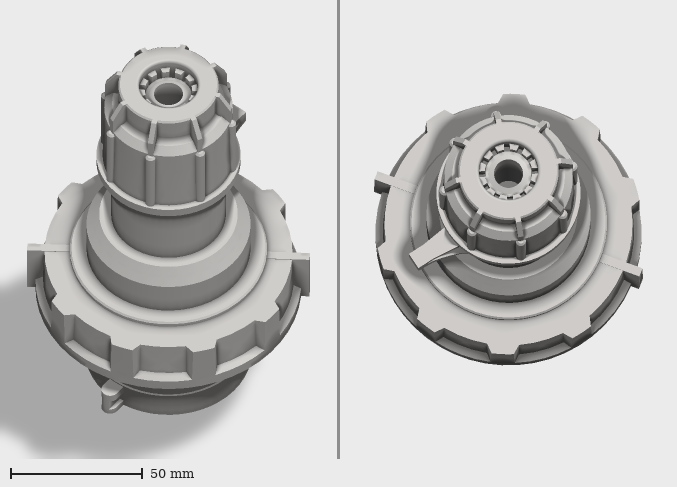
import cadquery as cq
import math

TOTAL_HEIGHT = 157.1

SLEEVE_RADIUS = 30.8
COLLAR_RADIUS = 63.3 / 2
COLLAR_TOP = 11.0
KEY_WIDTH = 6.6
KEY_REACH = 38.8
KEY_TOP = 10.5
KEY_WEB_WIDTH = 3.3
KEY_NOTCH_BOTTOM = 2.5
KEY_NOTCH_TOP = 7.2

RING_BOTTOM = 37.5
RING_TOP = 58.1
RING_RADIUS = 50.5
RECESS_FOOT_RADIUS = 47.6
RECESS_TOP_RADIUS = 47.0
RECESS_BOTTOM = 42.0
RECESS_FOOT = 43.7
LAND_COUNT = 10
LAND_WIDTH = 9.3
LAND_FLARE = 1.4
LUG_POSITIONS = (1, 6)
LUG_WIDTH = 4.4
LUG_INNER_RADIUS = 37.5
LUG_REACH = 53.5
LUG_TOP = 58.5
DRAFT_ANGLE = 1.4

WASHER_RADIUS = 74.8 / 2
WASHER_BOTTOM = 58.8
WASHER_TOP = 60.8
WASHER_CHAMFER = 0.6

HOUSING_RADIUS = 31.1
HOUSING_TAPER_BOTTOM = 74.6
HOUSING_SHOULDER = 80.7
HOUSING_SHOULDER_RADIUS = 26.2
NECK_RADIUS = 43.5 / 2
HOOK_TOP = 103.0
HOOK_PLATE_THICKNESS = 2.5
HOOK_REACH = 43.0
HOOK_TAPER_START = 36.3
HOOK_TIP_WIDTH = 6.6
HOOK_ROOT_WIDTH = 9.9
HOOK_LIP_BOTTOM = 98.0
HOOK_FOOT = 81.0
HOOK_WEB_WIDTH = 1.9

NUT_BOTTOM = 111.9
NUT_FLANGE_TOP = 115.5
NUT_FLANGE_RADIUS = 27.3
NUT_BODY_BOTTOM_RADIUS = 25.0
NUT_BODY_TOP_RADIUS = 24.4
NUT_BODY_TOP = 143.5
NUT_SHOULDER_RADIUS = 21.4
NUT_SHOULDER_TOP = 146.1
NUT_HEAD_RADIUS = 38.0 / 2
NUT_HEAD_BOTTOM = 148.5
NUT_HEAD_CHAMFER = 0.6
NUT_NECK_RADIUS = 18.5
NUT_NECK_FILLET = 2.2
NUT_BORE_RADIUS = 22.5 / 2
NUT_BORE_ROUND = 1.1
GRIP_COUNT = 8
GRIP_RADIUS = 24.7
GRIP_RIB_RADIUS = 1.9
GRIP_RIB_TOP = 143.0
GRIP_RIB_CHAMFER = 0.8
FIN_THICKNESS = 2.0
FIN_TOP_RADIUS = 20.3
FIN_KNEE = 150.2

CAGE_RADIUS = 22.3 / 2
CAGE_BORE_RADIUS = 9.0
CAGE_TOP = 153.5
CAGE_SLOT_COUNT = 12
CAGE_SLOT_WIDTH = 2.2
CAGE_SLOT_BOTTOM = 147.7
SEAL_RADIUS = 8.8
SEAL_RIM_TOP = 150.5
SEAL_LIP_RADIUS = 7.7
SEAL_LIP_TOP = 151.3
SEAL_BORE_RADIUS = 11.0 / 2


def cylinder(radius, bottom, top):
    return cq.Workplane("XY").workplane(offset=bottom).circle(radius).extrude(top - bottom)


def block(x_min, x_max, y_min, y_max, bottom, top):
    size = (x_max - x_min, y_max - y_min, top - bottom)
    return cq.Workplane("XY").box(*size, centered=False).translate((x_min, y_min, bottom))


def turned(body, angle):
    return body.rotate((0, 0, 0), (0, 0, 1), angle)


def make_key():
    """Key on the -Y side: a round-ended block, narrowed to a web at mid height."""
    half_width = KEY_WIDTH / 2
    round_center = KEY_REACH - half_width
    key = block(-half_width, half_width, -round_center, -SLEEVE_RADIUS, 0, KEY_TOP)
    key = key.union(cylinder(half_width, 0, KEY_TOP).translate((0, -round_center, 0)))
    for side in (-1, 1):
        inner = side * KEY_WEB_WIDTH / 2
        outer = side * KEY_WIDTH
        key = key.cut(
            block(min(inner, outer), max(inner, outer), -KEY_REACH, 0, KEY_NOTCH_BOTTOM, KEY_NOTCH_TOP)
        )
    return key


def make_sleeve():
    sleeve = cylinder(SLEEVE_RADIUS, 0, RING_TOP)
    return sleeve.union(cylinder(COLLAR_RADIUS, 0, COLLAR_TOP)).union(make_key())


def drafted_rib(inner_width, outer_width, outer_radius, top):
    """Radial rib along +X that narrows towards its top."""
    height = top - RING_BOTTOM
    draft = height * math.tan(math.radians(DRAFT_ANGLE))

    def footprint(setback):
        inner = inner_width / 2 - setback
        outer = outer_width / 2 - setback
        return [
            (LUG_INNER_RADIUS, -inner),
            (outer_radius, -outer),
            (outer_radius, outer),
            (LUG_INNER_RADIUS, inner),
        ]

    return (
        cq.Workplane("XY")
        .workplane(offset=RING_BOTTOM)
        .polyline(footprint(0))
        .close()
        .workplane(offset=height)
        .polyline(footprint(draft))
        .close()
        .loft(ruled=True)
    )


def make_land():
    """Land between two recesses, flaring towards the axis."""
    flare = 2 * LAND_FLARE / (RING_RADIUS - RECESS_FOOT_RADIUS)
    inner_width = LAND_WIDTH + flare * (RING_RADIUS - LUG_INNER_RADIUS)
    outer_width = LAND_WIDTH - flare * (LUG_REACH - RING_RADIUS)
    return drafted_rib(inner_width, outer_width, LUG_REACH, LUG_TOP)


def make_grip_recess():
    """Annular recess around the ring with a sloping floor, interrupted by the lands."""
    floor_slope = (RECESS_FOOT - RECESS_BOTTOM) / (RING_RADIUS - RECESS_FOOT_RADIUS)
    clear_radius = (RING_RADIUS + LUG_REACH) / 2
    recess = (
        cq.Workplane("XZ")
        .polyline(
            [
                (RECESS_FOOT_RADIUS, RECESS_FOOT),
                (clear_radius, RECESS_BOTTOM - floor_slope * (clear_radius - RING_RADIUS)),
                (clear_radius, RING_TOP),
                (RECESS_TOP_RADIUS, RING_TOP),
            ]
        )
        .close()
        .revolve(360, (0, 0, 0), (0, 1, 0))
    )
    land = make_land()
    for position in range(LAND_COUNT):
        if position not in LUG_POSITIONS:
            recess = recess.cut(turned(land, position * 360 / LAND_COUNT))
    return recess


def make_coupling_ring():
    ring = cylinder(RING_RADIUS, RING_BOTTOM, RING_TOP).cut(make_grip_recess())
    lug = drafted_rib(LUG_WIDTH, LUG_WIDTH, LUG_REACH, LUG_TOP)
    for position in LUG_POSITIONS:
        ring = ring.union(turned(lug, position * 360 / LAND_COUNT))
    return ring.cut(cylinder(SLEEVE_RADIUS, RING_BOTTOM, RING_TOP))


def make_washer():
    washer = cylinder(WASHER_RADIUS, WASHER_BOTTOM, WASHER_TOP)
    washer = washer.faces(">Z").edges().chamfer(WASHER_CHAMFER)
    return washer.cut(cylinder(HOUSING_RADIUS, WASHER_BOTTOM, WASHER_TOP))


def make_hook():
    """Latch hook on the +Y side: a tapered plate on a curved flange, joined by a thin web."""
    plate_bottom = HOOK_TOP - HOOK_PLATE_THICKNESS
    tip = HOOK_TIP_WIDTH / 2
    root = HOOK_ROOT_WIDTH / 2
    outline = (
        cq.Workplane("XY")
        .workplane(offset=HOOK_FOOT)
        .polyline(
            [
                (-root, 0),
                (-root, NECK_RADIUS),
                (-tip, HOOK_TAPER_START),
                (-tip, HOOK_REACH),
                (tip, HOOK_REACH),
                (tip, HOOK_TAPER_START),
                (root, NECK_RADIUS),
                (root, 0),
            ]
        )
        .close()
        .extrude(HOOK_TOP - HOOK_FOOT)
    )
    side = (
        cq.Workplane("YZ")
        .moveTo(0, HOOK_TOP)
        .lineTo(HOOK_REACH, HOOK_TOP)
        .lineTo(HOOK_REACH, HOOK_LIP_BOTTOM)
        .threePointArc((33.1, 94.3), (NECK_RADIUS, HOOK_FOOT))
        .lineTo(0, HOOK_FOOT)
        .close()
        .extrude(HOOK_ROOT_WIDTH, both=True)
    )
    pocket = (
        cq.Workplane("YZ")
        .moveTo(0, plate_bottom)
        .lineTo(39.3, plate_bottom)
        .threePointArc((31.3, 95.0), (NECK_RADIUS, HOOK_FOOT + 0.6))
        .lineTo(0, HOOK_FOOT + 0.6)
        .close()
        .extrude(HOOK_ROOT_WIDTH, both=True)
    )
    web = block(-HOOK_WEB_WIDTH / 2, HOOK_WEB_WIDTH / 2, 0, HOOK_REACH, HOOK_FOOT, HOOK_TOP)
    return outline.intersect(side).cut(pocket.cut(web))


def make_housing():
    housing = (
        cq.Workplane("XZ")
        .polyline(
            [
                (0, RING_TOP),
                (HOUSING_RADIUS, RING_TOP),
                (HOUSING_RADIUS, HOUSING_TAPER_BOTTOM),
                (HOUSING_SHOULDER_RADIUS, HOUSING_SHOULDER),
                (NECK_RADIUS, HOUSING_SHOULDER),
                (NECK_RADIUS, NUT_BOTTOM),
                (0, NUT_BOTTOM),
            ]
        )
        .close()
        .revolve(360, (0, 0, 0), (0, 1, 0))
    )
    return housing.union(make_hook())


def make_grip():
    """Grip rib and the fin above it, both on the +X side."""
    rib = cylinder(GRIP_RIB_RADIUS, NUT_FLANGE_TOP, GRIP_RIB_TOP).faces(">Z").chamfer(GRIP_RIB_CHAMFER)
    fin_inner_radius = (NUT_BORE_RADIUS + NUT_NECK_RADIUS) / 2
    fin = (
        cq.Workplane("XZ")
        .polyline(
            [
                (fin_inner_radius, GRIP_RIB_TOP),
                (GRIP_RADIUS, GRIP_RIB_TOP),
                (GRIP_RADIUS, FIN_KNEE),
                (FIN_TOP_RADIUS, TOTAL_HEIGHT),
                (fin_inner_radius, TOTAL_HEIGHT),
            ]
        )
        .close()
        .extrude(FIN_THICKNESS / 2, both=True)
    )
    return rib.translate((GRIP_RADIUS, 0, 0)).union(fin)


def make_nut():
    diagonal = NUT_NECK_FILLET * (1 - math.sqrt(0.5))
    nut = (
        cq.Workplane("XZ")
        .moveTo(0, NUT_BOTTOM)
        .lineTo(NUT_FLANGE_RADIUS, NUT_BOTTOM)
        .lineTo(NUT_FLANGE_RADIUS, NUT_FLANGE_TOP)
        .lineTo(NUT_BODY_BOTTOM_RADIUS, NUT_FLANGE_TOP)
        .lineTo(NUT_BODY_TOP_RADIUS, NUT_BODY_TOP)
        .lineTo(NUT_SHOULDER_RADIUS, NUT_SHOULDER_TOP)
        .lineTo(NUT_NECK_RADIUS + NUT_NECK_FILLET, NUT_SHOULDER_TOP)
        .threePointArc(
            (NUT_NECK_RADIUS + diagonal, NUT_SHOULDER_TOP + diagonal),
            (NUT_NECK_RADIUS, NUT_SHOULDER_TOP + NUT_NECK_FILLET),
        )
        .lineTo(NUT_NECK_RADIUS, NUT_HEAD_BOTTOM)
        .lineTo(NUT_HEAD_RADIUS, NUT_HEAD_BOTTOM)
        .lineTo(NUT_HEAD_RADIUS, TOTAL_HEIGHT - NUT_HEAD_CHAMFER)
        .lineTo(NUT_HEAD_RADIUS - NUT_HEAD_CHAMFER, TOTAL_HEIGHT)
        .lineTo(0, TOTAL_HEIGHT)
        .close()
        .revolve(360, (0, 0, 0), (0, 1, 0))
    )
    grip = make_grip()
    for position in range(GRIP_COUNT):
        nut = nut.union(turned(grip, (position + 0.5) * 360 / GRIP_COUNT))
    nut = nut.cut(cylinder(NUT_BORE_RADIUS, NUT_BOTTOM, TOTAL_HEIGHT))
    bore_mouth = cq.selectors.RadiusNthSelector(0)
    return nut.faces(">Z").edges("%CIRCLE").edges(bore_mouth).fillet(NUT_BORE_ROUND)


def make_cage():
    cage = cylinder(CAGE_RADIUS, NUT_BOTTOM, CAGE_TOP)
    cage = cage.cut(cylinder(CAGE_BORE_RADIUS, NUT_BOTTOM, CAGE_TOP))
    half_slot = CAGE_SLOT_WIDTH / 2
    slot = block(0, CAGE_RADIUS + half_slot, -half_slot, half_slot, CAGE_SLOT_BOTTOM, CAGE_TOP)
    for position in range(CAGE_SLOT_COUNT):
        cage = cage.cut(turned(slot, position * 360 / CAGE_SLOT_COUNT))
    return cage


def make_seal():
    """Tube with a conical lip that rises towards its bore."""
    return (
        cq.Workplane("XZ")
        .polyline(
            [
                (SEAL_BORE_RADIUS, NUT_BOTTOM),
                (SEAL_RADIUS, NUT_BOTTOM),
                (SEAL_RADIUS, SEAL_RIM_TOP),
                (SEAL_LIP_RADIUS, SEAL_RIM_TOP),
                (SEAL_BORE_RADIUS, SEAL_LIP_TOP),
            ]
        )
        .close()
        .revolve(360, (0, 0, 0), (0, 1, 0))
    )


sleeve = make_sleeve()
coupling_ring = make_coupling_ring()
washer = make_washer()
housing = make_housing()
nut = make_nut()
cage = make_cage()
seal = make_seal()

result = cq.Compound.makeCompound(
    [
        sleeve.val(),
        coupling_ring.val(),
        washer.val(),
        housing.val(),
        nut.val(),
        cage.val(),
        seal.val(),
    ]
)